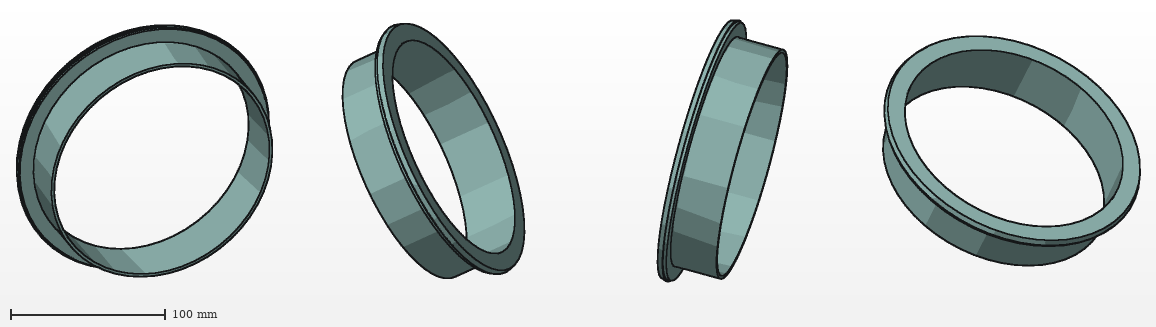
import cadquery as cq

total_length = 37.0
bore_diameter = 150.0
barrel_diameter = 154.2
flange_face_diameter = 173.5
flange_rim_diameter = 176.0
flange_step_diameter = 173.5
taper_length = 3.7
flange_thickness = 6.0
neck_length = 1.0
neck_diameter = 154.7

face_x = -total_length / 2
taper_end_x = face_x + taper_length
flange_back_x = face_x + flange_thickness
neck_end_x = flange_back_x + neck_length
barrel_end_x = face_x + total_length

section = [
    (face_x, bore_diameter / 2),
    (face_x, flange_face_diameter / 2),
    (taper_end_x, flange_rim_diameter / 2),
    (taper_end_x, flange_step_diameter / 2),
    (flange_back_x, flange_step_diameter / 2),
    (flange_back_x, neck_diameter / 2),
    (neck_end_x, barrel_diameter / 2),
    (barrel_end_x, barrel_diameter / 2),
    (barrel_end_x, bore_diameter / 2),
]

result = cq.Workplane("XZ").polyline(section).close().revolve(360, (0, 0, 0), (1, 0, 0))